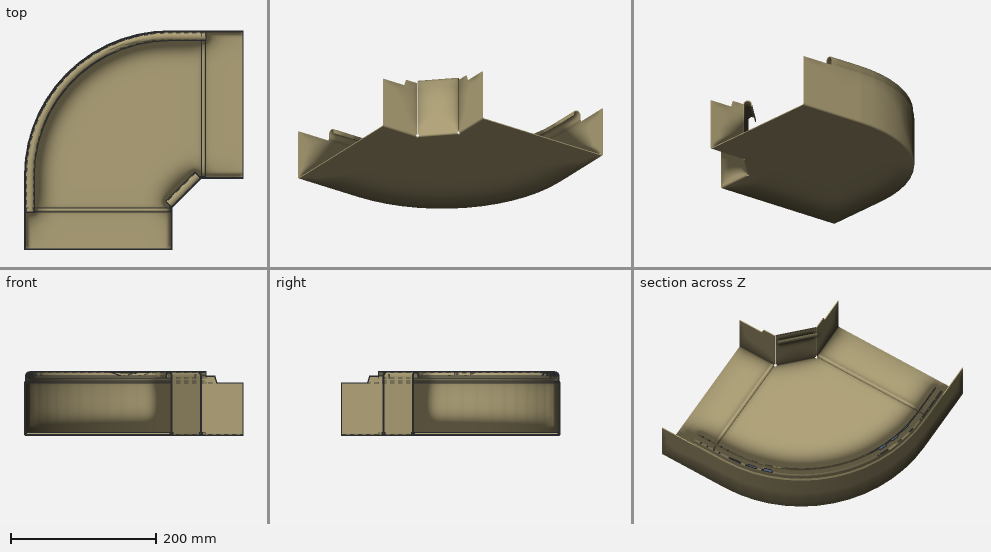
import cadquery as cq
import math

sheet = 1.25
bend_radius = 2 * sheet

plan_size = 301.35
outer_radius = 200.0
leg_width = 203.35
outer_leg = plan_size - outer_radius
connector_length = 51.0
corner_setback = 57.8

low_wall_height = 72.75
joggle_top = 75.5
joggle_depth = 1.5
rim_spring = 82.0
rim_lip = 79.3
total_height = 88.0
rim_radius = total_height - rim_spring

step_foot = 36.0
step_head = 39.0

slit_width = 0.8
relief_radius = 2.0
relief_height = 4.2

rib_width = 5.6
rib_height = 3.25
rib_side = 0.75
rib_centre = 54.3

arc_centre = (outer_radius, outer_leg)
corner = (leg_width, corner_setback)
diagonal = math.sqrt(0.5)
panel_length = math.dist(corner, (plan_size - corner_setback, plan_size - leg_width))


def other_leg(body):
    """Reflect a body of the -Y leg onto the +X leg, across the bend's symmetry plane."""
    return body.mirror((diagonal, diagonal, 0), (plan_size / 2, plan_size / 2, 0))


def section_plane(outside_point, inward):
    """Plane of a wall section: local x runs inward from the outside face, local y is +Z."""
    along = (inward[1], -inward[0], 0)
    return cq.Workplane(cq.Plane((*outside_point, 0), (*inward, 0), along))


def bend_start(plane):
    """Begin a wall section with the outside of its floor bend."""
    middle = bend_radius * (1 - diagonal)
    return plane.moveTo(bend_radius, 0).threePointArc((middle, middle), (0, bend_radius))


def bend_finish(section):
    """Close a wall section with the inside of its floor bend."""
    middle = bend_radius - (bend_radius - sheet) * diagonal
    return (
        section.lineTo(sheet, bend_radius)
        .threePointArc((middle, middle), (bend_radius, sheet))
        .close()
    )


def plain_section(plane, height):
    """Bent-up flat wall."""
    return bend_finish(bend_start(plane).lineTo(0, height).lineTo(sheet, height))


def rolled_rim(section, outside):
    """Add the half-round rim and its lip, ending on the wall's inner face at the rim spring."""
    rim_axis = outside + rim_radius
    lip_outside = outside + 2 * rim_radius
    return (
        section.lineTo(outside, rim_spring)
        .threePointArc((rim_axis, total_height), (lip_outside, rim_spring))
        .lineTo(lip_outside, rim_lip)
        .lineTo(lip_outside - sheet, rim_lip)
        .lineTo(lip_outside - sheet, rim_spring)
        .threePointArc((rim_axis, total_height - sheet), (outside + sheet, rim_spring))
    )


def joggled_section(plane):
    """Outer wall: flat foot, joggle inward, rolled rim."""
    section = bend_start(plane).lineTo(0, low_wall_height).lineTo(joggle_depth, joggle_top)
    section = (
        rolled_rim(section, joggle_depth)
        .lineTo(joggle_depth + sheet, joggle_top)
        .lineTo(sheet, low_wall_height)
    )
    return bend_finish(section)


def floor_plate():
    edge = bend_radius
    arc_x, arc_y = arc_centre
    arc_reach = (outer_radius - edge) * diagonal
    inner_x = leg_width - edge
    inner_y = corner[1] + edge * (math.sqrt(2) - 1)
    return (
        cq.Workplane("XY")
        .moveTo(edge, 0)
        .lineTo(edge, arc_y)
        .threePointArc((arc_x - arc_reach, arc_y + arc_reach), (arc_x, plan_size - edge))
        .lineTo(plan_size, plan_size - edge)
        .lineTo(plan_size, plan_size - inner_x)
        .lineTo(plan_size - inner_y, plan_size - inner_x)
        .lineTo(inner_x, inner_y)
        .lineTo(inner_x, 0)
        .close()
        .extrude(sheet)
    )


def outer_wall_leg():
    rim_run = outer_leg - connector_length
    wall = joggled_section(section_plane((0, outer_leg), (1, 0))).extrude(rim_run)
    connector_plane = section_plane((0, connector_length), (1, 0))
    return wall.union(plain_section(connector_plane, low_wall_height).extrude(connector_length))


def outer_wall_curve():
    section = joggled_section(section_plane((0, outer_leg), (1, 0)))
    return section.revolve(90, (outer_radius, 0, 0), (outer_radius, -1, 0))


def inner_wall_leg():
    """Inner wall, stepped down to the low height at its connector end."""
    plane = section_plane((leg_width, 0), (-1, 0))
    wall = plain_section(plane, rim_spring).extrude(corner_setback - slit_width)
    step = (
        cq.Workplane("YZ", origin=(leg_width - sheet, 0, 0))
        .moveTo(0, low_wall_height)
        .lineTo(step_foot, low_wall_height)
        .lineTo(step_head, rim_spring)
        .lineTo(0, rim_spring)
        .close()
        .extrude(sheet)
    )
    return wall.cut(step)


def corner_panel():
    """45 degree inner panel with its own rolled rim."""
    section = rolled_rim(bend_start(section_plane(corner, (-diagonal, diagonal))), 0)
    return bend_finish(section).extrude(panel_length)


def corner_relief():
    return cq.Workplane("XY").center(*corner).circle(relief_radius).extrude(relief_height)


def tray_body():
    tray = floor_plate().union(outer_wall_curve()).union(corner_panel())
    for leg_part in (outer_wall_leg(), inner_wall_leg()):
        tray = tray.union(leg_part).union(other_leg(leg_part))
    relief = corner_relief()
    return tray.cut(relief).cut(other_leg(relief))


def floor_rib():
    """Round-topped rib resting on the flat floor of the -Y leg, from bend to bend."""
    length = leg_width - 2 * bend_radius
    half_width = rib_width / 2
    return (
        cq.Workplane("YZ", origin=(bend_radius, rib_centre, sheet))
        .moveTo(-half_width, 0)
        .lineTo(-half_width, rib_side)
        .threePointArc((0, rib_height), (half_width, rib_side))
        .lineTo(half_width, 0)
        .close()
        .extrude(length)
    )


tray = tray_body()
rib = floor_rib()
result = cq.Compound.makeCompound([tray.val(), rib.val(), other_leg(rib).val()])